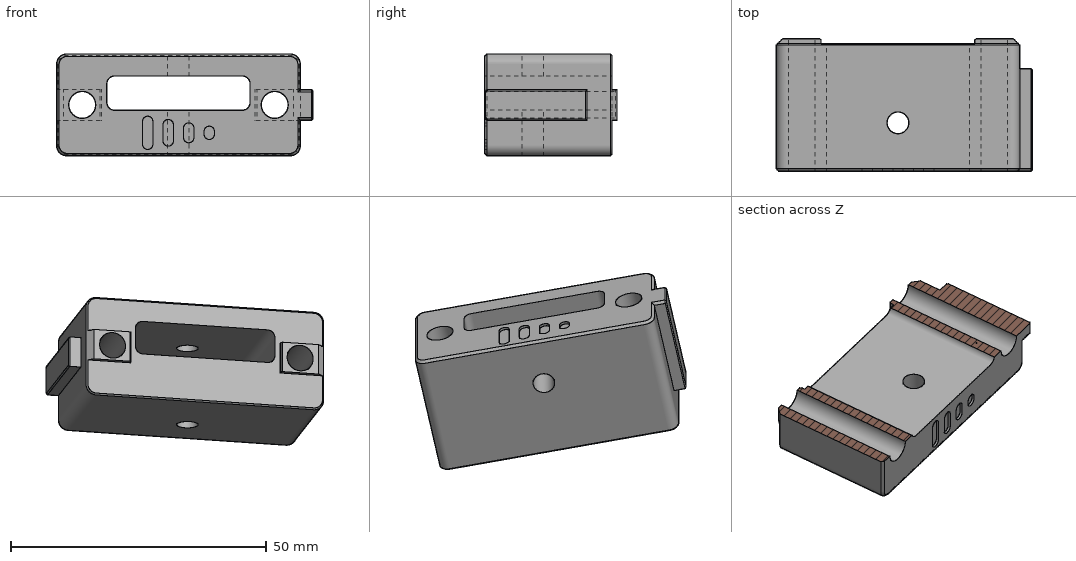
import cadquery as cq

overall_length = 50.2
overall_depth = 26.0
height = 20.0

rail_projection = 2.45
rail_height = 6.0
rail_length = 20.1
rail_end_chamfer = 0.25

tab_projection = 1.0
tab_height = 6.0
tab_length = 8.85
tab_inner_chamfer = 0.3

body_length = overall_length - rail_projection
body_depth = overall_depth - tab_projection
corner_radius = 2.0
front_chamfer = 0.5
back_chamfer = 0.3

bolt_diameter = 5.2
bolt_edge_distance = 5.0
window_length = 28.0
window_height = 6.7
window_rise = 2.3
window_radius = 1.5
cross_hole_diameter = 4.2
cross_hole_setback = 9.5

slot_count = 4
slot_width = 2.0
slot_pitch = 4.0
longest_slot = 6.55
slot_shortening = 1.3
slot_drop = 5.45
slot_depth = 0.5


def front_sketch(x=0, z=0):
    """Workplane on the front face, extruding toward +Y; the origin is the block's face centre."""
    return cq.Workplane("XZ", origin=(x, 0, z))


def make_body_with_rail():
    """Rounded block and key rail, sharing one chamfer along the front face."""
    body = front_sketch().rect(body_length, height).extrude(-body_depth)
    body = body.edges("|Y").fillet(corner_radius)
    body = body.faces(">Y").edges().chamfer(back_chamfer)

    rail_end = body_length / 2 + rail_projection
    rail = front_sketch(rail_end / 2).rect(rail_end, rail_height).extrude(-rail_length)
    block = body.union(rail)

    block = block.faces("<Y").edges("not >X").chamfer(front_chamfer)
    return block.faces(">X").edges().chamfer(rail_end_chamfer)


def make_tab(side):
    """Latch tab at one end of the back face; side is -1 for the -X end and +1 for the +X end."""
    outer_x = side * body_length / 2
    inner_x = outer_x - side * tab_length
    bevel = tab_projection + back_chamfer
    base_y = body_depth - back_chamfer
    outline = [
        (outer_x, base_y),
        (outer_x - side * bevel, overall_depth),
        (inner_x + side * tab_inner_chamfer, overall_depth),
        (inner_x, overall_depth - tab_inner_chamfer),
        (inner_x, base_y),
    ]
    return cq.Workplane("XY").polyline(outline).close().extrude(tab_height / 2, both=True)


def make_window():
    window = front_sketch(z=window_rise).rect(window_length, window_height).extrude(-body_depth)
    return window.edges("|Y").fillet(window_radius)


def make_bolt_bores():
    """Two bores running front to back, through the block and the tabs."""
    offset = body_length / 2 - bolt_edge_distance
    bores = front_sketch().pushPoints([(-offset, 0), (offset, 0)]).circle(bolt_diameter / 2)
    return bores.extrude(-overall_depth)


def make_cross_hole():
    plane = cq.Workplane("XY", origin=(0, cross_hole_setback, 0))
    return plane.circle(cross_hole_diameter / 2).extrude(height / 2, both=True)


def make_slot(index):
    x = (index - (slot_count - 1) / 2) * slot_pitch
    length = longest_slot - index * slot_shortening
    return front_sketch(x=x, z=-slot_drop).slot2D(length, slot_width, 90).extrude(-slot_depth)


result = make_body_with_rail()
for side in (-1, 1):
    result = result.union(make_tab(side))
result = result.cut(make_window()).cut(make_bolt_bores()).cut(make_cross_hole())
for index in range(slot_count):
    result = result.cut(make_slot(index))